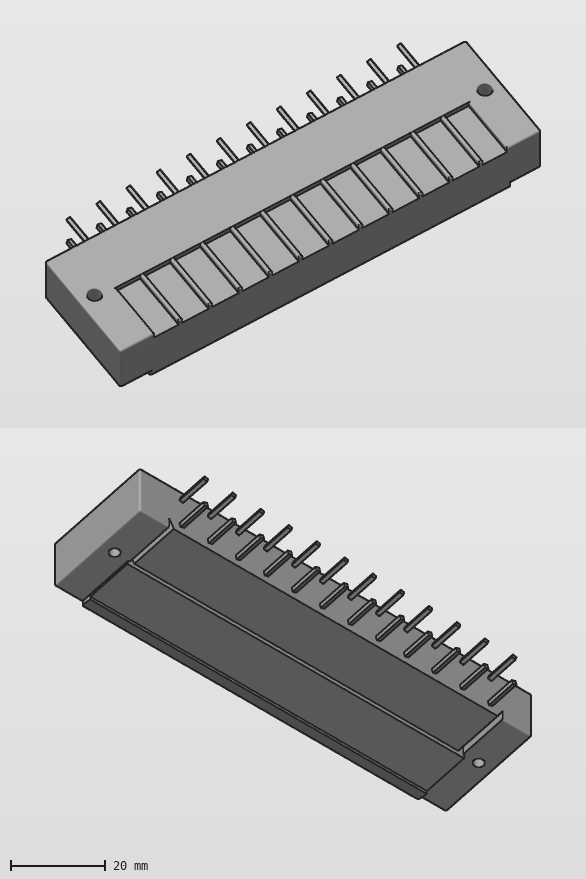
import cadquery as cq
body_length = 28.9
body_width = 106.7
body_height = 12.7
edge_radius = 0.5

pin_count = 12
pin_row_length = 83.9
pitch = pin_row_length / (pin_count - 1)
pin_side = 1.0
pin_length = 8.1
pin_twist = 17

bay_start = 14.2
bay_row_width = 89.4
bay_depth = 1.3
rib_thickness = 1.0
rib_edge_radius = 0.3

hole_x = 13.2
hole_spacing = 99.0
hole_diameter = 2.6
counterbore_diameter = 3.2
counterbore_depth = 6.4
hole_edge_radius = 0.27

recess_width = 90.7
recess_depth = 0.2
groove_width = 1.3
groove_height = 2.5

plate_start = 13.3
plate_width = 91.5
plate_thickness = 0.7
plate_end_slope = 0.2
lip_start = 26.0
lip_drop = 1.6
lip_end_drop = 1.1


def row_position(index, count):
    """Y of one item in a row of equally pitched items centred on Y = 0."""
    return (index - (count - 1) / 2) * pitch


def make_body():
    block = cq.Workplane("XY").box(
        body_length, body_width, body_height, centered=(False, True, False)
    )
    return block.edges().fillet(edge_radius)


def make_bay(y_low, y_high):
    """Cutter for one bay whose mouth flares out to leave rounded rib edges."""
    floor = body_height - bay_depth
    shoulder = body_height - rib_edge_radius
    profile = (
        cq.Workplane("YZ", origin=(bay_start, 0, 0))
        .moveTo(y_low, floor)
        .lineTo(y_high, floor)
        .lineTo(y_high, shoulder)
        .radiusArc((y_high + rib_edge_radius, body_height), rib_edge_radius)
        .lineTo(y_low - rib_edge_radius, body_height)
        .radiusArc((y_low, shoulder), rib_edge_radius)
        .close()
    )
    return profile.extrude(body_length - bay_start)


def cut_bays(body):
    rib_centers = [row_position(index, pin_count - 1) for index in range(pin_count - 1)]
    bay_lows = [-bay_row_width / 2] + [y + rib_thickness / 2 for y in rib_centers]
    bay_highs = [y - rib_thickness / 2 for y in rib_centers] + [bay_row_width / 2]
    for y_low, y_high in zip(bay_lows, bay_highs):
        body = body.cut(make_bay(y_low, y_high))
    return body


def make_hole(y):
    """Cutter for one stepped mounting hole with a rounded mouth."""
    bore_radius = counterbore_diameter / 2
    mouth_radius = bore_radius + hole_edge_radius
    profile = (
        cq.Workplane("XZ")
        .lineTo(hole_diameter / 2, 0)
        .lineTo(hole_diameter / 2, body_height - counterbore_depth)
        .lineTo(bore_radius, body_height - counterbore_depth)
        .lineTo(bore_radius, body_height - hole_edge_radius)
        .radiusArc((mouth_radius, body_height), hole_edge_radius)
        .lineTo(0, body_height)
        .close()
    )
    return profile.revolve(360, (0, 0, 0), (0, 1, 0)).translate((hole_x, y, 0))


def make_underside_recess():
    half_width = recess_width / 2
    groove_inner = half_width - groove_width
    outline = [
        (-half_width, 0),
        (-half_width, groove_height),
        (-groove_inner, recess_depth),
        (groove_inner, recess_depth),
        (half_width, groove_height),
        (half_width, 0),
    ]
    return cq.Workplane("YZ").polyline(outline).close().extrude(plate_start)


def make_plate():
    outline = [
        (plate_start, edge_radius),
        (plate_start, 0),
        (plate_start + plate_end_slope, -plate_thickness),
        (lip_start, -plate_thickness),
        (lip_start, -lip_drop),
        (body_length, -lip_end_drop),
        (body_length, edge_radius),
    ]
    plate = cq.Workplane("XZ").polyline(outline).close().extrude(plate_width / 2, both=True)
    return plate.edges("|Z and >X").fillet(edge_radius)


def make_pin_row(height, twist):
    centers = [(row_position(index, pin_count), height) for index in range(pin_count)]
    section = cq.Sketch().rect(pin_side, pin_side, angle=twist)
    return cq.Workplane("YZ").pushPoints(centers).placeSketch(section).extrude(-pin_length)


def make_pins():
    middle = body_height / 2
    upper_row = make_pin_row(middle + pitch / 2, pin_twist)
    lower_row = make_pin_row(middle - pitch / 2, -pin_twist)
    return upper_row.union(lower_row)


body = cut_bays(make_body()).cut(make_underside_recess())
for hole_y in (-hole_spacing / 2, hole_spacing / 2):
    body = body.cut(make_hole(hole_y))
result = body.union(make_plate()).union(make_pins())